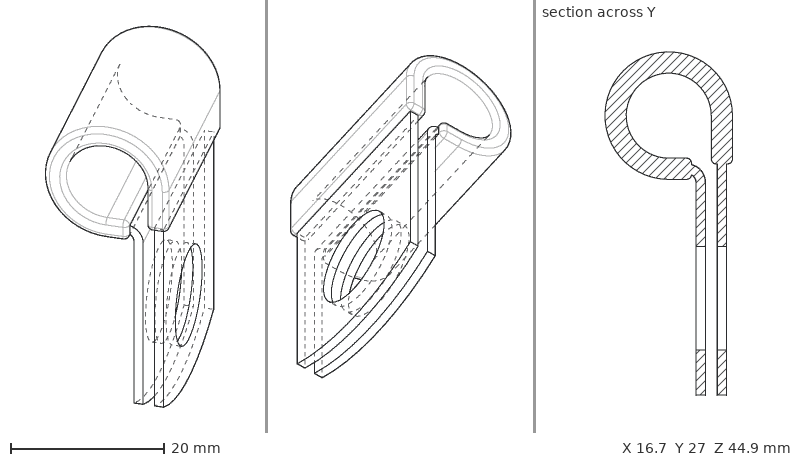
import cadquery as cq

SLEEVE_LENGTH = 27.0
OUTER_RADIUS = 8.35
SLEEVE_THICKNESS = 2.83
UPRIGHT_LEG = 6.33
BOTTOM_LEG = 3.0
SLEEVE_FILLET = 0.7

STRAP_THICKNESS = 1.25
STRAP_WIDTH = 25.2
BEND_INNER_RADIUS = 1.15
FRONT_TAB_FACE = 3.55

TOTAL_HEIGHT = 44.85
TIP_SAG = 3.0
HOLE_DIAMETER = 13.5
HOLE_DROP = 23.8

inner_radius = OUTER_RADIUS - SLEEVE_THICKNESS
middle_radius = (OUTER_RADIUS + inner_radius) / 2
strap_inner = middle_radius - STRAP_THICKNESS / 2
strap_outer = middle_radius + STRAP_THICKNESS / 2
tip_z = OUTER_RADIUS - TOTAL_HEIGHT
shoulder_z = tip_z + TIP_SAG


def extrude_centred(profile, width):
    """Extrude an XZ outline equally to both sides of Y = 0."""
    return profile.extrude(width / 2, both=True)


def box(x_min, x_max, z_min, z_max, width):
    """Block between X and Z limits, centred on Y."""
    profile = (
        cq.Workplane("XZ")
        .moveTo(x_min, z_min)
        .lineTo(x_max, z_min)
        .lineTo(x_max, z_max)
        .lineTo(x_min, z_max)
        .close()
    )
    return extrude_centred(profile, width)


def make_sleeve():
    """Three-quarter loop with two straight legs, rounded around its ends."""
    profile = (
        cq.Workplane("XZ")
        .moveTo(OUTER_RADIUS, -UPRIGHT_LEG)
        .lineTo(OUTER_RADIUS, 0)
        .threePointArc((0, OUTER_RADIUS), (-OUTER_RADIUS, 0))
        .radiusArc((0, -OUTER_RADIUS), -OUTER_RADIUS)
        .lineTo(BOTTOM_LEG, -OUTER_RADIUS)
        .lineTo(BOTTOM_LEG, -inner_radius)
        .lineTo(0, -inner_radius)
        .radiusArc((-inner_radius, 0), inner_radius)
        .threePointArc((0, inner_radius), (inner_radius, 0))
        .lineTo(inner_radius, -UPRIGHT_LEG)
        .close()
    )
    sleeve = extrude_centred(profile, SLEEVE_LENGTH)
    end_edges = sleeve.faces("<Y or >Y").edges()
    margin = SLEEVE_FILLET / 2
    leg_end_zone = cq.selectors.BoxSelector(
        (BOTTOM_LEG - margin, -margin, -OUTER_RADIUS - margin),
        (OUTER_RADIUS + margin, margin, -inner_radius + margin),
    )
    leg_end_edges = sleeve.edges("|Y").edges(leg_end_zone)
    return end_edges.add(leg_end_edges).fillet(SLEEVE_FILLET)


def make_front_tab():
    """Strap leaving the bottom leg, bending down into a flat tab."""
    face = FRONT_TAB_FACE
    bend_start_x = face - BEND_INNER_RADIUS
    bend_end_z = -strap_outer - BEND_INNER_RADIUS
    outer_bend = BEND_INNER_RADIUS + STRAP_THICKNESS
    profile = (
        cq.Workplane("XZ")
        .moveTo(0, -strap_inner)
        .lineTo(bend_start_x, -strap_inner)
        .radiusArc((face + STRAP_THICKNESS, bend_end_z), outer_bend)
        .lineTo(face + STRAP_THICKNESS, tip_z)
        .lineTo(face, tip_z)
        .lineTo(face, bend_end_z)
        .radiusArc((bend_start_x, -strap_outer), -BEND_INNER_RADIUS)
        .lineTo(0, -strap_outer)
        .close()
    )
    return extrude_centred(profile, STRAP_WIDTH)


def make_tab_outline():
    """Solid along X carrying the rounded tip and hole shared by both tabs."""
    half_width = STRAP_WIDTH / 2
    return (
        cq.Workplane("YZ")
        .moveTo(-half_width, 0)
        .lineTo(-half_width, shoulder_z)
        .threePointArc((0, tip_z), (half_width, shoulder_z))
        .lineTo(half_width, 0)
        .close()
        .moveTo(0, -HOLE_DROP)
        .circle(HOLE_DIAMETER / 2)
        .extrude(OUTER_RADIUS)
    )


back_tab = box(strap_inner, strap_outer, tip_z, 0, STRAP_WIDTH)
tabs = make_front_tab().union(back_tab).intersect(make_tab_outline())
result = make_sleeve().union(tabs)